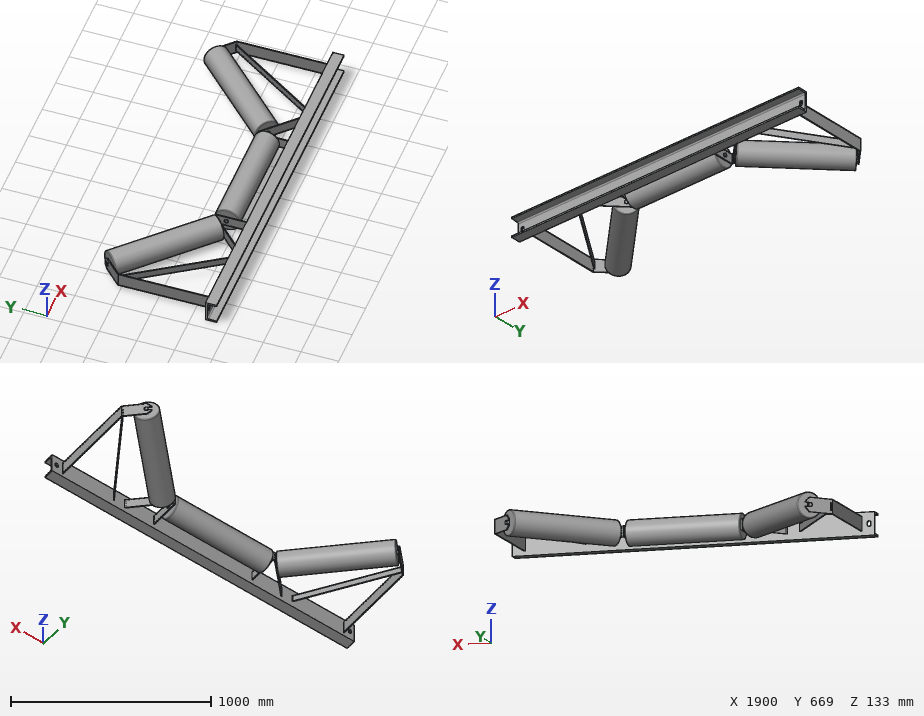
import cadquery as cq
import math


overall_depth = 669.0

beam_length = 1900
beam_height = 120.0
flange_width = 59.0
web_thickness = 10.0
flange_tip_thickness = 10.0
flange_root_thickness = 11.0
root_fillet = 8.0
beam_slot_width = 19
beam_slot_height = 28.0
beam_slot_from_end = 28.0

roller_length = 600.0
roller_diameter = 133
rim_radius = 4.0
shaft_diameter = 20.0
middle_roller_y = 118.0
side_roller_x = 575.0
trough_angle = 45

strip_thickness = 5.0
outer_strip_width = 75.0
inner_strip_width = 57
inner_gap = 5.0
outer_gap = 10.0
outer_overhang = 28.0
outer_end_chamfer = 23.0
upright_x = 884.0
inner_top_y = 170.0
stay_width = 40.0
stay_foot_x = 559.0
foot_overrun = 5.0

half_strip = strip_thickness / 2
inner_reach = roller_length / 2 + inner_gap + half_strip
outer_reach = roller_length / 2 + outer_gap + half_strip
axis_x = -math.cos(math.radians(trough_angle))
axis_y = math.sin(math.radians(trough_angle))
rim_along = roller_length / 2 - rim_radius
rim_across = roller_diameter / 2 - rim_radius
side_corner_rise = rim_along * axis_y - rim_across * axis_x + rim_radius
side_roller_y = overall_depth - flange_width - side_corner_rise


def band(points, width):
    """Bent strip with mitred folds whose centre line runs through the XY points."""
    count = len(points)
    left = []
    right = []
    for i in range(count):
        before = points[max(i - 1, 0)]
        here = points[i]
        after = points[min(i + 1, count - 1)]
        angle_in = math.atan2(here[1] - before[1], here[0] - before[0])
        angle_out = math.atan2(after[1] - here[1], after[0] - here[0])
        if i == 0:
            angle_in = angle_out
        if i == count - 1:
            angle_out = angle_in
        miter = (angle_in + angle_out) / 2 + math.pi / 2
        reach = half_strip / math.cos((angle_out - angle_in) / 2)
        step_x = reach * math.cos(miter)
        step_y = reach * math.sin(miter)
        left.append((here[0] + step_x, here[1] + step_y))
        right.append((here[0] - step_x, here[1] - step_y))
    outline = cq.Workplane("XY").polyline(left + right[::-1]).close()
    return outline.extrude(width).translate((0, 0, -width / 2))


def along_side_roller(distance):
    """Point on the left roller axis, measured from its middle toward the outer end."""
    return (-side_roller_x + distance * axis_x, side_roller_y + distance * axis_y)


def across_side_roller(point, distance):
    """Point moved up and inward, square to the left roller axis."""
    return (point[0] + distance * axis_y, point[1] - distance * axis_x)


outer_seat = along_side_roller(outer_reach)
inner_seat = along_side_roller(-inner_reach)
outer_fold = across_side_roller(outer_seat, (-upright_x - outer_seat[0]) / axis_y)


def above_beam(body):
    """Trim a strip foot flush with the back of the beam web."""
    keep = cq.Workplane("XY").box(beam_length, beam_length, beam_height, centered=(True, False, True))
    return body.intersect(keep)


def make_beam():
    """Channel with tapered flanges toward -Y and an upright slot near each end."""
    half = beam_height / 2
    root = half - flange_root_thickness
    tip = half - flange_tip_thickness
    profile = [
        (0, -half), (-flange_width, -half), (-flange_width, -tip), (-web_thickness, -root),
        (-web_thickness, root), (-flange_width, tip), (-flange_width, half), (0, half),
    ]
    beam = cq.Workplane("YZ").polyline(profile).close().extrude(beam_length)
    beam = beam.translate((-beam_length / 2, 0, 0))
    beam = beam.faces("<Y[-2]").edges("|X").fillet(root_fillet)
    slot_x = beam_length / 2 - beam_slot_from_end
    slots = (
        cq.Workplane("XZ")
        .pushPoints([(-slot_x, 0), (slot_x, 0)])
        .slot2D(beam_slot_height, beam_slot_width, 90)
        .extrude(flange_width)
    )
    return beam.cut(slots)


def cylinder(diameter, start, end):
    """Cylinder along X between two X positions."""
    return cq.Workplane("YZ").workplane(offset=start).circle(diameter / 2).extrude(end - start)


def place(body, x, y, angle):
    """Turn a body about Z, then move it in the XY plane."""
    return body.rotate((0, 0, 0), (0, 0, 1), angle).translate((x, y, 0))


def make_roller(x, y, angle, left_reach, right_reach):
    """Drum with rounded rims and a shaft whose ends are flush with the outside of the brackets."""
    drum = cylinder(roller_diameter, -roller_length / 2, roller_length / 2)
    drum = drum.faces("<X or >X").edges().fillet(rim_radius)
    shaft = cylinder(shaft_diameter, -left_reach - half_strip, right_reach + half_strip)
    return place(drum.union(shaft), x, y, angle)


def make_outer_bracket():
    """Upright folded over to the outer end of the left roller, with an open shaft slot."""
    tip = across_side_roller(outer_seat, outer_overhang)
    bracket = band([(-upright_x, 0), outer_fold, tip], outer_strip_width)
    tip_corners = cq.selectors.ParallelDirSelector(cq.Vector(axis_x, axis_y, 0))
    bracket = bracket.edges(tip_corners).chamfer(outer_end_chamfer)
    slot_end = cylinder(shaft_diameter, -strip_thickness, strip_thickness)
    slot_mouth = cq.Workplane("XY").box(
        2 * strip_thickness, 2 * outer_overhang, shaft_diameter, centered=(True, False, True)
    )
    slot = place(slot_end.union(slot_mouth), *outer_seat, -trough_angle)
    return bracket.cut(slot)


def make_inner_bracket():
    """Strip from the beam up past the left roller's inner end and back down past the middle roller."""
    foot = across_side_roller(inner_seat, (foot_overrun + inner_seat[1]) / axis_x)
    peak = across_side_roller(inner_seat, (inner_seat[1] - inner_top_y) / axis_x)
    top_corner = (-inner_reach, inner_top_y)
    upright_foot = (-inner_reach, -foot_overrun)
    bracket = above_beam(band([foot, peak, top_corner, upright_foot], inner_strip_width))
    hole = cylinder(shaft_diameter, -strip_thickness, strip_thickness)
    side_hole = place(hole, *inner_seat, -trough_angle)
    middle_hole = place(hole, -inner_reach, middle_roller_y, 0)
    return bracket.cut(side_hole).cut(middle_hole)


def make_stay(outer_bracket):
    """Diagonal strip from the beam to the fold of the outer bracket."""
    top = across_side_roller(outer_fold, strip_thickness)
    bar = band([top, (-stay_foot_x, -foot_overrun)], stay_width)
    return above_beam(bar).cut(outer_bracket)


beam = make_beam()

rollers = [
    make_roller(0, middle_roller_y, 0, inner_reach, inner_reach),
    make_roller(-side_roller_x, side_roller_y, -trough_angle, outer_reach, inner_reach),
    make_roller(side_roller_x, side_roller_y, trough_angle, inner_reach, outer_reach),
]

outer_bracket = make_outer_bracket()
inner_bracket = make_inner_bracket()
stay = make_stay(outer_bracket)

left_supports = [outer_bracket, inner_bracket, stay]
right_supports = [support.mirror("YZ") for support in left_supports]

bodies = [beam] + rollers + left_supports + right_supports
result = cq.Compound.makeCompound([body.solids().val() for body in bodies])